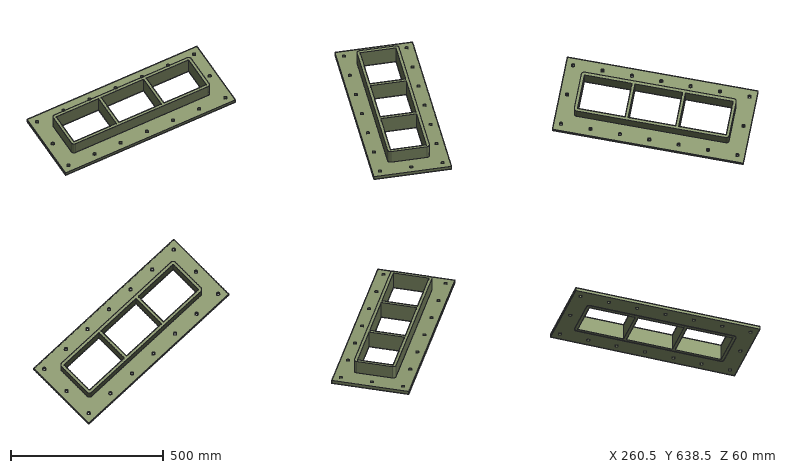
import cadquery as cq

plate_width = 260.5
plate_length = 638.5
plate_thickness = 12.0

total_height = 60.0
frame_drop = 2.0
wall = 10.0
window_width = 120.0
window_length = 159.0
window_count = 3
corner_radius = 9.5

window_pitch = window_length + wall
frame_width = window_width + 2 * wall
frame_length = window_count * window_pitch + wall

hole_diameter = 10.0
hole_span_x = 211.0
hole_pitch_y = 98.5
holes_per_side = 7
hole_span_y = (holes_per_side - 1) * hole_pitch_y


def make_plate():
    """Flat plate whose underside lies at Z = 0."""
    return cq.Workplane("XY").rect(plate_width, plate_length).extrude(plate_thickness)


def make_frame():
    """Solid upright block with rounded vertical corners."""
    return (
        cq.Workplane("XY", origin=(0, 0, -frame_drop))
        .rect(frame_width, frame_length)
        .extrude(total_height)
        .edges("|Z")
        .fillet(corner_radius)
    )


def make_windows():
    """Row of rectangular openings through the full height."""
    return (
        cq.Workplane("XY", origin=(0, 0, -frame_drop))
        .rarray(6.5, window_pitch, 1, window_count)
        .rect(window_width, window_length)
        .extrude(total_height)
    )


def make_bolt_holes():
    """Two long rows of holes plus one hole midway along each short edge."""
    side_rows = (
        cq.Workplane("XY")
        .rarray(hole_span_x, hole_pitch_y, 2, holes_per_side)
        .circle(hole_diameter / 2)
        .extrude(plate_thickness)
    )
    end_holes = (
        cq.Workplane("XY")
        .rarray(6.5, hole_span_y, 1, 2)
        .circle(hole_diameter / 2)
        .extrude(plate_thickness)
    )
    return side_rows.union(end_holes)


result = make_plate().union(make_frame()).cut(make_windows()).cut(make_bolt_holes())